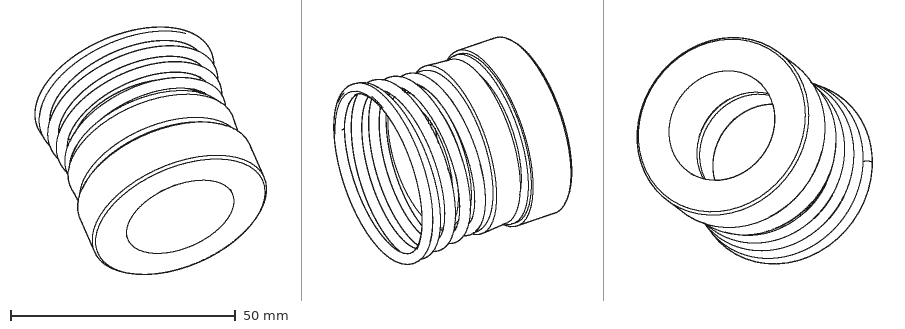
import cadquery as cq
import math

TOTAL_LENGTH = 38.1

WIRE_DIAMETER = 2.4
LARGE_END_DIAMETER = 42.2
END_GRIND_DEPTH = 0.03
COIL_TURNS = 4
POINTS_PER_TURN = 24

NOSE_X = 11.4
GROOVE_START_X = 12.88
GROOVE_END_X = 14.35
COLLAR_X = 19.0
NECK_X = 25.35
LIP_X = 27.05
HEAD_X = 27.82

NOSE_DIAMETER = 31.75
GROOVE_DIAMETER = 28.45
SPRING_SEAT_DIAMETER = 33.05
COLLAR_FRONT_DIAMETER = 39.48
COLLAR_BACK_DIAMETER = 38.55
NECK_DIAMETER = 33.35
LIP_DIAMETER = 39.7
HEAD_DIAMETER = 41.3
HEAD_CHAMFER = 0.6

BORE_DIAMETER = 25.4
MOUTH_DIAMETER = 26.98
MOUTH_FILLET = (MOUTH_DIAMETER - BORE_DIAMETER) / 2
BORE_GROOVE_DIAMETER = 27.4
BORE_GROOVE_START_X = 19.93
BORE_GROOVE_SLOPE_X = 21.03
BORE_GROOVE_END_X = 21.55

WIRE_RADIUS = WIRE_DIAMETER / 2
GROUND_WIRE_OFFSET = WIRE_RADIUS - END_GRIND_DEPTH
COIL_START_X = WIRE_RADIUS
COIL_END_X = COLLAR_X - WIRE_RADIUS
LARGE_RING_RADIUS = LARGE_END_DIAMETER / 2 - WIRE_RADIUS
SMALL_RING_RADIUS = SPRING_SEAT_DIAMETER / 2 + WIRE_RADIUS


def make_housing():
    """Turn the stepped sleeve from its half section, drawn as (X, radius)."""
    bore_radius = BORE_DIAMETER / 2
    bore_groove_radius = BORE_GROOVE_DIAMETER / 2
    nose_radius = NOSE_DIAMETER / 2
    groove_radius = GROOVE_DIAMETER / 2
    seat_radius = SPRING_SEAT_DIAMETER / 2
    neck_radius = NECK_DIAMETER / 2
    lip_radius = LIP_DIAMETER / 2
    head_radius = HEAD_DIAMETER / 2

    section = (
        cq.Workplane("XY")
        .moveTo(NOSE_X, MOUTH_DIAMETER / 2)
        .lineTo(NOSE_X, nose_radius)
        .lineTo(GROOVE_START_X, nose_radius)
        .lineTo(GROOVE_START_X, groove_radius)
        .lineTo(GROOVE_END_X, groove_radius)
        .lineTo(GROOVE_END_X, seat_radius)
        .lineTo(COLLAR_X, seat_radius)
        .lineTo(COLLAR_X, COLLAR_FRONT_DIAMETER / 2)
        .lineTo(NECK_X, COLLAR_BACK_DIAMETER / 2)
        .lineTo(NECK_X, neck_radius)
        .lineTo(LIP_X, neck_radius)
        .lineTo(LIP_X, lip_radius)
        .lineTo(HEAD_X, lip_radius)
        .lineTo(HEAD_X, head_radius)
        .lineTo(TOTAL_LENGTH - HEAD_CHAMFER, head_radius)
        .lineTo(TOTAL_LENGTH, head_radius - HEAD_CHAMFER)
        .lineTo(TOTAL_LENGTH, bore_radius)
        .lineTo(BORE_GROOVE_END_X, bore_radius)
        .lineTo(BORE_GROOVE_SLOPE_X, bore_groove_radius)
        .lineTo(BORE_GROOVE_START_X, bore_groove_radius)
        .lineTo(BORE_GROOVE_START_X, bore_radius)
        .lineTo(NOSE_X + MOUTH_FILLET, bore_radius)
        .radiusArc((NOSE_X, MOUTH_DIAMETER / 2), MOUTH_FILLET)
        .close()
    )
    return section.revolve(360, (0, 0, 0), (1, 0, 0))


def make_end_ring(flat_x, inward, ring_radius):
    """Closed coil, ground flat at flat_x; inward is +1 or -1, the side of the wire along X.

    The section stands on -Y, which keeps its seam away from the coil ends on +Y.
    """
    centre_x = flat_x + inward * GROUND_WIRE_OFFSET
    half_flat = math.sqrt(WIRE_RADIUS**2 - GROUND_WIRE_OFFSET**2)
    wire_section = (
        cq.Workplane("XY")
        .moveTo(flat_x, -ring_radius - half_flat)
        .threePointArc(
            (centre_x + inward * WIRE_RADIUS, -ring_radius),
            (flat_x, -ring_radius + half_flat),
        )
        .close()
    )
    return wire_section.revolve(360, (0, 0, 0), (1, 0, 0))


def coil_point(turn):
    """Point on the helix centreline; it starts on +Y and turns toward +Z."""
    share = turn / COIL_TURNS
    angle = 2 * math.pi * turn
    x = COIL_START_X + share * (COIL_END_X - COIL_START_X)
    radius = LARGE_RING_RADIUS + share * (SMALL_RING_RADIUS - LARGE_RING_RADIUS)
    return cq.Vector(x, radius * math.cos(angle), radius * math.sin(angle))


def make_coils():
    """Sweep the wire along the conical helix from ring to ring."""
    steps = COIL_TURNS * POINTS_PER_TURN
    points = [coil_point(step / POINTS_PER_TURN) for step in range(steps + 1)]
    centreline = cq.Edge.makeSpline(points)
    start = cq.Plane(origin=points[0], normal=centreline.tangentAt(0))
    path = cq.Workplane(obj=cq.Wire.assembleEdges([centreline]))
    return cq.Workplane(start).circle(WIRE_RADIUS).sweep(path, isFrenet=True)


def make_spring():
    large_ring = make_end_ring(0, 1, LARGE_RING_RADIUS)
    small_ring = make_end_ring(COLLAR_X, -1, SMALL_RING_RADIUS)
    return make_coils().union(large_ring).union(small_ring)


housing = make_housing()
spring = make_spring()

result = cq.Compound.makeCompound([housing.val(), *spring.vals()])